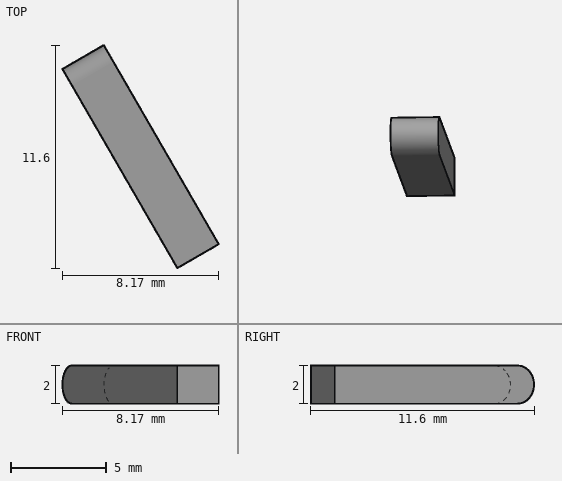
import cadquery as cq

length = 12.0
width = 2.5
height = 2.0
heading_angle = 120.0

end_radius = height / 2
straight_length = length - end_radius


def make_bar():
    """Bar along +X with a square end at X = 0 and a full-round far end."""
    side_profile = (
        cq.Workplane("XZ")
        .moveTo(0, -end_radius)
        .lineTo(straight_length, -end_radius)
        .threePointArc((length, 0), (straight_length, end_radius))
        .lineTo(0, end_radius)
        .close()
    )
    return side_profile.extrude(width / 2, both=True)


centred_bar = make_bar().translate((-length / 2, 0, 0))
result = centred_bar.rotate((0, 0, 0), (0, 0, 1), heading_angle)